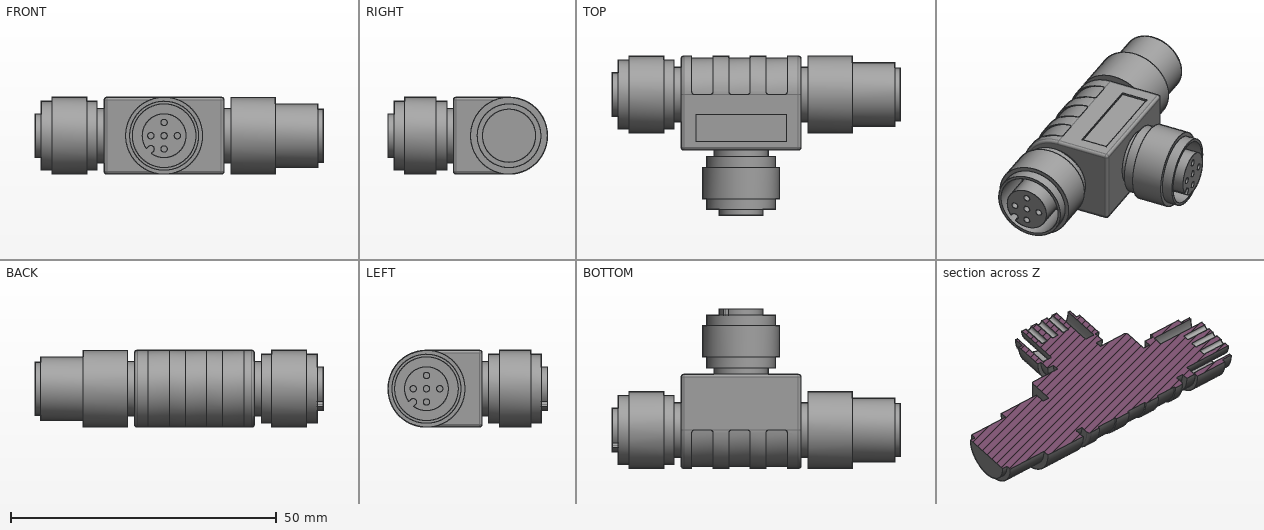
import cadquery as cq


body_diameter = 14.5
body_radius = body_diameter / 2
body_half_length = 11.3
body_front = 10.5
body_edge_radius = 0.55

groove_count = 3
groove_pitch = 7.0
first_groove_start = -9.3
groove_width = 4.0
groove_depth = 0.35
groove_corner_radius = 0.5

label_length = 17.05
label_width = 5.1
label_depth = 0.35
label_centre_y = -6.3

neck_diameter = 10.3
collar_diameter = 13.0
nut_diameter = body_diameter

bore_diameter = 12.0
insert_diameter = 8.25
insert_projection = 1.15
front_collar_length = 2.0
run_neck_length = 1.3
run_rear_collar_length = 1.95
run_nut_length = 6.6
branch_neck_length = 1.15
branch_rear_collar_length = 2.1
branch_nut_length = 5.9

contact_pitch = 2.5
contact_diameter = 1.2
contact_depth = 5.0
keyway_width = 1.3
keyway_mouth_length = keyway_width
keyway_direction = 225

male_neck_length = 1.25
male_nut_length = 8.4
male_sleeve_diameter = 12.0
male_sleeve_length = 8.0
male_tip_diameter = 10.0
male_tip_length = 1.05


def make_body():
    """Block with a half-round back; the end and front faces have rounded edges."""
    profile = (
        cq.Workplane("YZ", origin=(-body_half_length, 0, 0))
        .moveTo(0, body_radius)
        .lineTo(-body_front, body_radius)
        .lineTo(-body_front, -body_radius)
        .lineTo(0, -body_radius)
        .threePointArc((body_radius, 0), (0, body_radius))
        .close()
    )
    block = profile.extrude(2 * body_half_length)
    return block.faces("<X or >X or <Y").edges().fillet(body_edge_radius)


def make_groove(start):
    """Crescent cut, deepest at the back and fading out at the flat sides."""
    plan_blank = (
        cq.Workplane("XY", origin=(start, 0, -body_diameter))
        .rect(groove_width, body_diameter, centered=False)
        .extrude(2 * body_diameter)
        .edges("|Z and <Y")
        .fillet(groove_corner_radius)
    )
    floor = (
        cq.Workplane("YZ", origin=(start, -groove_depth, 0))
        .circle(body_radius)
        .extrude(groove_width)
    )
    return plan_blank.cut(floor)


def make_label_recess():
    return (
        cq.Workplane("XY", origin=(0, label_centre_y, body_radius - label_depth))
        .rect(label_length, label_width)
        .extrude(label_depth)
    )


def make_shaft(steps):
    """Stack (diameter, length) cylinders along +Z from the origin."""
    shaft = cq.Workplane("XY")
    height = 0
    for diameter, length in steps:
        step = cq.Workplane("XY", origin=(0, 0, height)).circle(diameter / 2).extrude(length)
        shaft = shaft.union(step)
        height += length
    return shaft


def make_female(neck_length, rear_collar_length, nut_length):
    """Female connector along +Z, keyway in the local -X, -Y quadrant."""
    sleeve_end = neck_length + rear_collar_length + nut_length + front_collar_length
    insert_end = sleeve_end + insert_projection
    bore_floor = neck_length + rear_collar_length
    connector = make_shaft([
        (neck_diameter, neck_length),
        (collar_diameter, rear_collar_length),
        (nut_diameter, nut_length),
        (collar_diameter, front_collar_length),
        (insert_diameter, insert_projection),
    ])
    gap = (
        cq.Workplane("XY", origin=(0, 0, bore_floor))
        .circle(bore_diameter / 2)
        .circle(insert_diameter / 2)
        .extrude(sleeve_end - bore_floor)
    )
    contacts = (
        cq.Workplane("XY", origin=(0, 0, insert_end - contact_depth))
        .pushPoints([
            (0, 0),
            (contact_pitch, 0),
            (-contact_pitch, 0),
            (0, contact_pitch),
            (0, -contact_pitch),
        ])
        .circle(contact_diameter / 2)
        .extrude(contact_depth)
    )
    keyway_length = insert_end - bore_floor
    keyway = (
        cq.Workplane("XY", origin=(-contact_pitch, -contact_pitch, bore_floor))
        .circle(keyway_width / 2)
        .extrude(keyway_length)
    )
    keyway_mouth = (
        cq.Workplane("XY", origin=(-contact_pitch, -contact_pitch, bore_floor))
        .transformed(rotate=(0, 0, keyway_direction))
        .rect(keyway_mouth_length, keyway_width, centered=(False, True))
        .extrude(keyway_length)
    )
    return connector.cut(gap).cut(contacts).cut(keyway).cut(keyway_mouth)


def make_branch():
    """Female connector pointing to -Y from the front face of the body."""
    branch = make_female(branch_neck_length, branch_rear_collar_length, branch_nut_length)
    return branch.rotate((0, 0, 0), (1, 0, 0), 90).translate((0, -body_front, 0))


def make_run_female():
    """Female connector pointing to -X from the left end of the body."""
    female = make_female(run_neck_length, run_rear_collar_length, run_nut_length)
    facing_front = female.rotate((0, 0, 0), (1, 0, 0), 90)
    return facing_front.rotate((0, 0, 0), (0, 0, 1), -90).translate((-body_half_length, 0, 0))


def make_run_male():
    """Male connector pointing to +X from the right end of the body."""
    male = make_shaft([
        (neck_diameter, male_neck_length),
        (nut_diameter, male_nut_length),
        (male_sleeve_diameter, male_sleeve_length),
        (male_tip_diameter, male_tip_length),
    ])
    return male.rotate((0, 0, 0), (0, 1, 0), 90).translate((body_half_length, 0, 0))


body = make_body().cut(make_label_recess())
for groove_index in range(groove_count):
    body = body.cut(make_groove(first_groove_start + groove_index * groove_pitch))

result = body.union(make_branch()).union(make_run_female()).union(make_run_male())